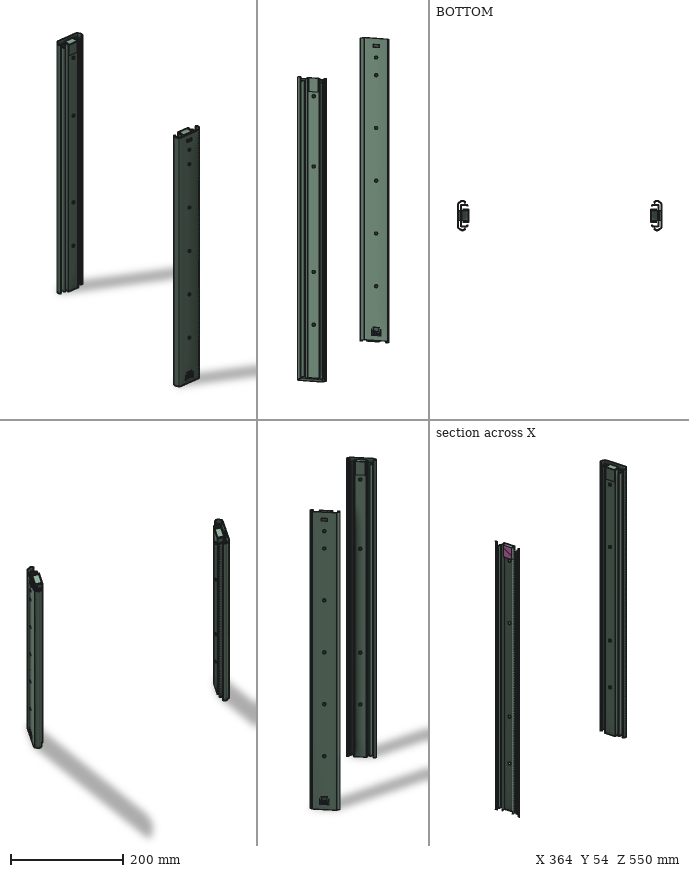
import cadquery as cq
import math


LENGTH = 550.0
OVERALL_WIDTH = 364.0
SHEET = 1.8

TOP = LENGTH / 2
BOTTOM = -LENGTH / 2
INNER_SETBACK = 2.0
MIDDLE_TOP_SETBACK = 7.2
MIDDLE_BOTTOM_SETBACK = 3.8

HOLE_PITCH = 32.0
TOP_HOLE_Z = TOP - 35.0
OUTER_HOLE_DIAMETER = 5.6
OUTER_HOLE_STEPS = (0, 1, 4, 7, 10, 13)
INNER_HOLE_DIAMETER = 5.8
INNER_HOLE_STEPS = (0, 4, 10, 13)

OUTER_HALF_HEIGHT = 27.0
WEB_BEND = (0.0, 19.4)
SHOULDER_BEND = (0.9, 22.8)
LIP_RADIUS = 6.6
LIP_CENTER_X = 9.0
LIP_START_X = 6.6
LIP_END_X = 14.4
LIP_TIP = (13.0, 21.8)
LIP_INNER_END_X = 12.3

TAB_HALF_WIDTH = 5.6
TOP_SLOT_Z = (258.6, 263.8)
LOWER_SLOT_Z = (-258.4, -251.0)
LOWER_SLOT_BOTTOM_HALF_WIDTH = 4.2
STOP_HALF_WIDTH = 8.7
STOP_TOP_Z = -254.6
STOP_NOTCH_Z = -261.7
STOP_FOOT_Z = -263.9
STOP_BOTTOM_Z = -265.9
STOP_RECESS_DEPTH = 0.9
LUG_DEPTH = 2.8
LUG_RIDGE_Z = -259.0
LUG_SHOULDER_Z = -263.5

MIDDLE_BACK = 5.0
MIDDLE_FRONT = 18.7
MIDDLE_HALF_HEIGHT = 19.9
MIDDLE_BEND_RADIUS = 2.6
MIDDLE_LIP_RADIUS = 2.8

INNER_BACK = 9.6
INNER_FRONT = 20.2
INNER_HALF_HEIGHT = 12.0
INNER_BEVEL = 0.8

BLOCK_BACK = 7.2
BLOCK_HALF_HEIGHT = 8.7
BLOCK_LENGTH = 25.0


def miter_point(before, corner, after, distance):
    """Corner of a path shifted to the right of its direction of travel."""
    first = math.atan2(corner[1] - before[1], corner[0] - before[0])
    second = math.atan2(after[1] - corner[1], after[0] - corner[0])
    normal = (first + second) / 2 - math.pi / 2
    reach = distance / math.cos((first - second) / 2)
    return (corner[0] + reach * math.cos(normal), corner[1] + reach * math.sin(normal))


def screw_holes(diameter, steps, back, depth):
    """Round cutters along X on the screw grid."""
    centers = [(0, TOP_HOLE_Z - step * HOLE_PITCH) for step in steps]
    return cq.Workplane("YZ", origin=(back, 0, 0)).pushPoints(centers).circle(diameter / 2).extrude(depth)


def prism_across_web(outline, back, depth):
    """A closed (y, z) outline extruded along +X."""
    return cq.Workplane("YZ", origin=(back, 0, 0)).polyline(outline).close().extrude(depth)


def slot(z_range, bottom_half_width):
    """Four-sided cutter through the outer web, as wide as the tab at its top."""
    low, high = z_range
    corners = [
        (-bottom_half_width, low),
        (bottom_half_width, low),
        (TAB_HALF_WIDTH, high),
        (-TAB_HALF_WIDTH, high),
    ]
    return prism_across_web(corners, 0, SHEET)


def outer_section():
    """C section with sloped shoulders and curled lips, cut along y = 0 and mirrored."""
    lip_center_y = OUTER_HALF_HEIGHT - LIP_RADIUS

    def on_lip(x, radius):
        return (x, lip_center_y + math.sqrt(radius**2 - (x - LIP_CENTER_X) ** 2))

    lip_start = on_lip(LIP_START_X, LIP_RADIUS)
    inner_radius = LIP_RADIUS - SHEET
    inner_start_x = LIP_CENTER_X - (LIP_CENTER_X - LIP_START_X) * inner_radius / LIP_RADIUS
    inner_web_bend = miter_point((0, 0), WEB_BEND, SHOULDER_BEND, SHEET)
    inner_shoulder = miter_point(WEB_BEND, SHOULDER_BEND, lip_start, SHEET)
    return (
        cq.Workplane("XY", origin=(0, 0, BOTTOM))
        .polyline([(0, 0), WEB_BEND, SHOULDER_BEND, lip_start])
        .threePointArc((LIP_CENTER_X, OUTER_HALF_HEIGHT), on_lip(LIP_END_X, LIP_RADIUS))
        .lineTo(*LIP_TIP)
        .lineTo(*on_lip(LIP_INNER_END_X, inner_radius))
        .threePointArc(on_lip(LIP_CENTER_X, inner_radius), on_lip(inner_start_x, inner_radius))
        .lineTo(*inner_shoulder)
        .lineTo(*inner_web_bend)
        .lineTo(SHEET, 0)
        .mirrorX()
    )


def stop_recess():
    """Shallow stamped recess with two raised shoulders and two feet."""
    right_side = [
        (TAB_HALF_WIDTH, STOP_FOOT_Z),
        (TAB_HALF_WIDTH, STOP_BOTTOM_Z),
        (STOP_HALF_WIDTH, STOP_BOTTOM_Z),
        (STOP_HALF_WIDTH, STOP_TOP_Z),
        (TAB_HALF_WIDTH, STOP_NOTCH_Z),
    ]
    left_side = [(-y, z) for y, z in reversed(right_side)]
    return prism_across_web(right_side + left_side, 0, STOP_RECESS_DEPTH)


def stop_lug():
    """Lug with a gabled top on the inside of the web."""
    outline = [
        (0, LUG_RIDGE_Z),
        (STOP_HALF_WIDTH, LUG_SHOULDER_Z),
        (STOP_HALF_WIDTH, STOP_BOTTOM_Z),
        (-STOP_HALF_WIDTH, STOP_BOTTOM_Z),
        (-STOP_HALF_WIDTH, LUG_SHOULDER_Z),
    ]
    return prism_across_web(outline, SHEET, LUG_DEPTH)


def outer_rail():
    rail = outer_section().extrude(LENGTH)
    rail = rail.cut(screw_holes(OUTER_HOLE_DIAMETER, OUTER_HOLE_STEPS, 0, SHEET))
    rail = rail.cut(slot(TOP_SLOT_Z, TAB_HALF_WIDTH))
    rail = rail.cut(slot(LOWER_SLOT_Z, LOWER_SLOT_BOTTOM_HALF_WIDTH))
    return rail.union(stop_lug()).cut(stop_recess())


def middle_rail():
    """C section whose front edges curl a quarter turn toward y = 0."""
    inside = MIDDLE_BACK + SHEET
    inner_half_height = MIDDLE_HALF_HEIGHT - SHEET
    back_bend_x = MIDDLE_BACK + MIDDLE_BEND_RADIUS
    back_bend_y = MIDDLE_HALF_HEIGHT - MIDDLE_BEND_RADIUS
    lip_bend_x = MIDDLE_FRONT - MIDDLE_LIP_RADIUS
    lip_end_y = MIDDLE_HALF_HEIGHT - MIDDLE_LIP_RADIUS
    bottom = BOTTOM + MIDDLE_BOTTOM_SETBACK
    section = (
        cq.Workplane("XY", origin=(0, 0, bottom))
        .moveTo(MIDDLE_BACK, 0)
        .lineTo(MIDDLE_BACK, back_bend_y)
        .radiusArc((back_bend_x, MIDDLE_HALF_HEIGHT), MIDDLE_BEND_RADIUS)
        .lineTo(lip_bend_x, MIDDLE_HALF_HEIGHT)
        .radiusArc((MIDDLE_FRONT, lip_end_y), MIDDLE_LIP_RADIUS)
        .lineTo(MIDDLE_FRONT - SHEET, lip_end_y)
        .radiusArc((lip_bend_x, inner_half_height), SHEET - MIDDLE_LIP_RADIUS)
        .lineTo(back_bend_x, inner_half_height)
        .radiusArc((inside, back_bend_y), SHEET - MIDDLE_BEND_RADIUS)
        .lineTo(inside, 0)
        .mirrorX()
    )
    return section.extrude(TOP - MIDDLE_TOP_SETBACK - bottom)


def inner_rail():
    """Channel open toward the outer rail, with beveled front corners."""
    inside = INNER_FRONT - SHEET
    inner_half_height = INNER_HALF_HEIGHT - SHEET
    rail = (
        cq.Workplane("XY", origin=(0, 0, BOTTOM + INNER_SETBACK))
        .moveTo(INNER_FRONT, 0)
        .lineTo(INNER_FRONT, INNER_HALF_HEIGHT - INNER_BEVEL)
        .lineTo(INNER_FRONT - INNER_BEVEL, INNER_HALF_HEIGHT)
        .lineTo(INNER_BACK, INNER_HALF_HEIGHT)
        .lineTo(INNER_BACK, inner_half_height)
        .lineTo(inside, inner_half_height)
        .lineTo(inside, 0)
        .mirrorX()
        .extrude(LENGTH - 2 * INNER_SETBACK)
    )
    return rail.cut(screw_holes(INNER_HOLE_DIAMETER, INNER_HOLE_STEPS, inside, SHEET))


def end_block():
    """Block filling the top end of the inner rail, resting on its web."""
    depth = INNER_FRONT - SHEET - BLOCK_BACK
    top = TOP - INNER_SETBACK
    return (
        cq.Workplane("XY", origin=(BLOCK_BACK + depth / 2, 0, top - BLOCK_LENGTH))
        .rect(depth, 2 * BLOCK_HALF_HEIGHT)
        .extrude(BLOCK_LENGTH)
    )


bodies = []
for make_body in (outer_rail, middle_rail, inner_rail, end_block):
    left_body = make_body().translate((-OVERALL_WIDTH / 2, 0, 0))
    right_body = left_body.mirror("YZ")
    bodies += [left_body.val(), right_body.val()]

result = cq.Compound.makeCompound(bodies)